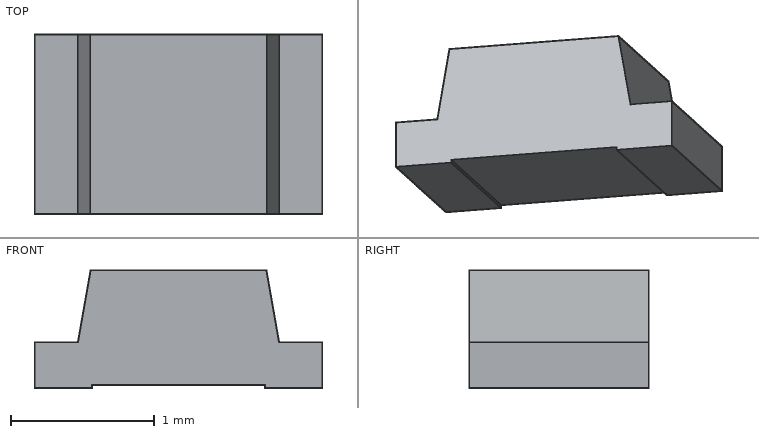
import cadquery as cq

length = 2.0
width = 1.25
height = 0.82

base_height = 0.32
terminal_length = 0.4
terminal_thickness = 0.02

lens_bottom_length = 1.4
lens_top_length = 1.225


def make_base():
    """Slab with a shallow relief between the two end terminals."""
    slab = cq.Workplane("XY").box(length, width, base_height, centered=(True, True, False))
    relief_length = length - 2 * terminal_length
    relief = cq.Workplane("XY").box(
        relief_length, width, terminal_thickness, centered=(True, True, False)
    )
    return slab.cut(relief)


def make_lens():
    """Trapezoidal block across the full width, standing on the base."""
    profile = [
        (-lens_bottom_length / 2, base_height),
        (lens_bottom_length / 2, base_height),
        (lens_top_length / 2, height),
        (-lens_top_length / 2, height),
    ]
    return cq.Workplane("XZ").polyline(profile).close().extrude(width / 2, both=True)


result = make_base().union(make_lens()).clean()